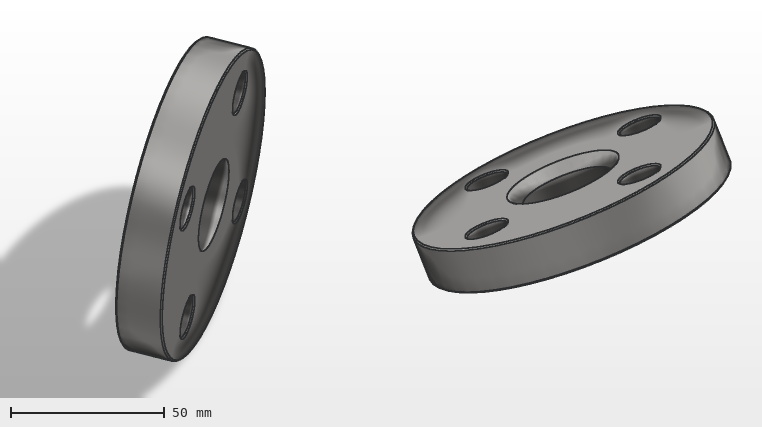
import cadquery as cq

outer_diameter = 105.0
thickness = 16.0
rim_chamfer = 0.5

bore_diameter = 31.0
cone_diameter = 39.0
cone_depth = (cone_diameter - bore_diameter) / 2

bolt_hole_count = 4
bolt_hole_diameter = 14.0
bolt_circle_diameter = 75.0
bolt_hole_chamfer = 0.5
first_bolt_angle = 45


def make_disc():
    """Disc centred on the origin, chamfered on both rims."""
    disc = cq.Workplane("YZ").workplane(offset=-thickness / 2)
    disc = disc.circle(outer_diameter / 2).extrude(thickness)
    return disc.faces("<X or >X").edges().chamfer(rim_chamfer)


def make_bore():
    """Revolved cutter: through bore that widens conically at the -X face."""
    front = -thickness / 2
    profile = [
        (front, 0),
        (front, cone_diameter / 2),
        (front + cone_depth, bore_diameter / 2),
        (thickness / 2, bore_diameter / 2),
        (thickness / 2, 0),
    ]
    return cq.Workplane("XY").polyline(profile).close().revolve(360, (0, 0), (1, 0))


def make_bolt_hole():
    """Through-hole cutter on the X axis, flared by the edge chamfer at both ends."""
    hole_radius = bolt_hole_diameter / 2
    mouth_radius = hole_radius + bolt_hole_chamfer
    half = thickness / 2
    profile = [
        (-half, 0),
        (-half, mouth_radius),
        (-half + bolt_hole_chamfer, hole_radius),
        (half - bolt_hole_chamfer, hole_radius),
        (half, mouth_radius),
        (half, 0),
    ]
    return cq.Workplane("XY").polyline(profile).close().revolve(360, (0, 0), (1, 0))


result = make_disc().cut(make_bore())
offset_hole = make_bolt_hole().translate((0, bolt_circle_diameter / 2, 0))
for index in range(bolt_hole_count):
    angle = first_bolt_angle + index * 360 / bolt_hole_count
    result = result.cut(offset_hole.rotate((0, 0, 0), (1, 0, 0), angle))